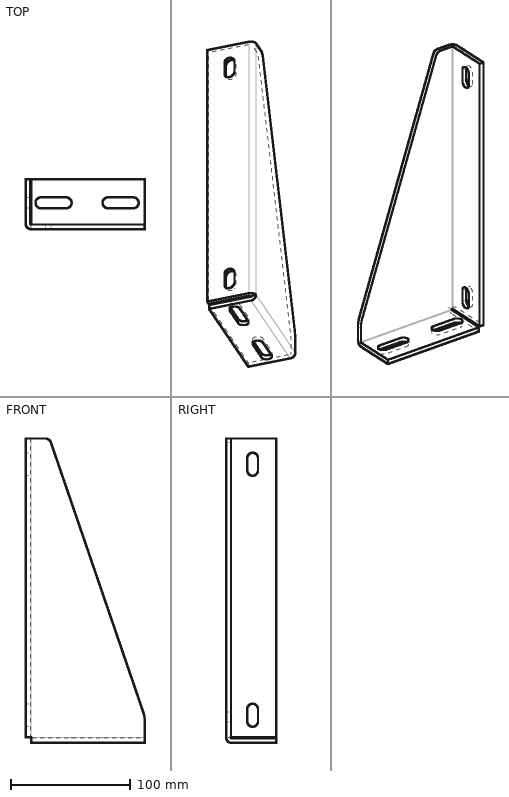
import cadquery as cq

width = 100.0
depth = 42.0
height = 255.0

thickness = 4.0
bend_outer = 4.5
bend_inner = bend_outer - thickness

top_width = 20.1
taper_end_height = 22.0
top_corner_radius = 5.0
side_corner_radius = 25.5

slot_width = 9.0
slot_center_y = depth - 20.0
wall_slot_length = 19.0
wall_slot_heights = (23.2, 233.3)
base_slot_length = 30.0
base_slot_centers = (23.5, 79.5)


def bent_section(plane):
    """L-shaped sheet section with the bend at the origin; the second axis is Y."""
    return (
        cq.Workplane(plane)
        .moveTo(0, depth)
        .lineTo(0, bend_outer)
        .radiusArc((bend_outer, 0), -bend_outer)
        .lineTo(bend_outer, thickness)
        .radiusArc((thickness, bend_outer), bend_inner)
        .lineTo(thickness, depth)
        .close()
    )


def make_web():
    """Flat tapered plate with both ends of the taper rounded."""
    plate = (
        cq.Workplane("XZ")
        .moveTo(bend_outer, bend_outer)
        .lineTo(width, bend_outer)
        .lineTo(width, taper_end_height)
        .lineTo(top_width, height)
        .lineTo(bend_outer, height)
        .close()
        .extrude(-thickness)
    )
    plate = plate.edges("|Y").edges(
        cq.selectors.NearestToPointSelector((top_width, thickness / 2, height))
    ).fillet(top_corner_radius)
    return plate.edges("|Y").edges(
        cq.selectors.NearestToPointSelector((width, thickness / 2, taper_end_height))
    ).fillet(side_corner_radius)


def make_wall():
    """Upright flange and its bend, stopping above the base bend."""
    wall = (
        bent_section("XY")
        .extrude(height - bend_outer)
        .translate((0, 0, bend_outer))
    )
    slots = (
        cq.Workplane("YZ")
        .pushPoints([(slot_center_y, z) for z in wall_slot_heights])
        .slot2D(wall_slot_length, slot_width, 90)
        .extrude(thickness)
    )
    return wall.cut(slots)


def make_base():
    """Bottom flange and its bend, starting beside the wall bend."""
    section_plane = cq.Plane(origin=(bend_outer, 0, 0), xDir=(0, 0, 1), normal=(-1, 0, 0))
    base = bent_section(section_plane).extrude(bend_outer - width)
    slots = (
        cq.Workplane("XY")
        .pushPoints([(x, slot_center_y) for x in base_slot_centers])
        .slot2D(base_slot_length, slot_width)
        .extrude(thickness)
    )
    return base.cut(slots)


result = make_web().union(make_wall()).union(make_base())